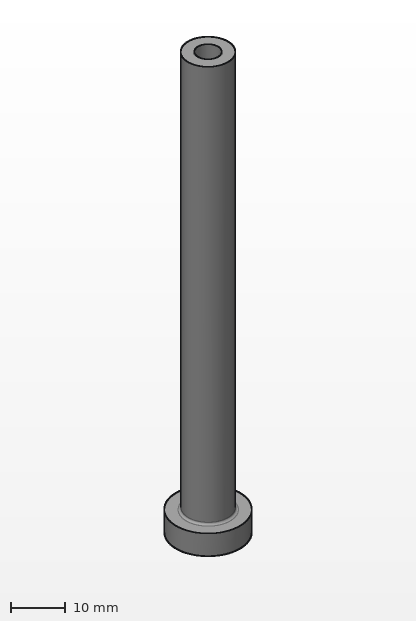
import cadquery as cq

head_diameter = 16.0
head_height = 5.0
shaft_diameter = 10.0
shaft_length = 100.0
bore_diameter = 5.0
root_fillet_radius = 0.5

overall_length = head_height + shaft_length


def cylinder(diameter, height, base_z=0.0):
    """Upright cylinder centred on the Z axis."""
    return cq.Workplane("XY").workplane(offset=base_z).circle(diameter / 2).extrude(height)


def sleeve_body():
    """Head and shaft, with a fillet where the shaft meets the top of the head."""
    body = cylinder(head_diameter, head_height).union(
        cylinder(shaft_diameter, shaft_length, base_z=head_height)
    )
    shaft_root = cq.selectors.RadiusNthSelector(0)
    head_top = body.faces(cq.selectors.NearestToPointSelector((0, 0, head_height)))
    return head_top.edges(shaft_root).fillet(root_fillet_radius)


bore = cylinder(bore_diameter, overall_length)

result = sleeve_body().cut(bore)